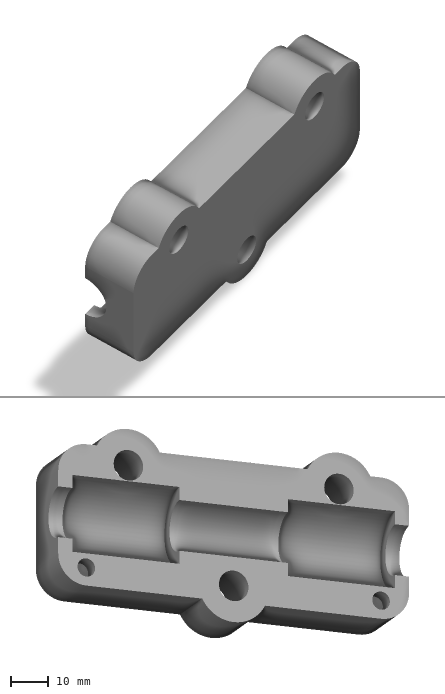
import cadquery as cq

thickness = 16.0
length = 100.0
height = 39.0
corner_radius = 8.0
split_x = -thickness / 2

boss_radius = 10.0
screw_diameter = 8.4
boss_centers = [(-30.0, 15.0), (30.0, 15.0), (0.0, -15.0)]

shaft_diameter = 14.0
seat_diameter = 21.2
seat_length = 30.5
end_wall = 4.0
seat_center_y = length / 2 - end_wall - seat_length / 2

dowel_diameter = 5.0
dowel_depth = 5.0
dowel_centers = [(-42.0, -14.5), (42.0, -14.5)]


def split_face():
    """Workplane on the split face: local x is Y, local y is Z, normal is +X."""
    return cq.Workplane("YZ", origin=(split_x, 0, 0))


def cylinder_along_y(diameter, cylinder_length, center_y):
    """Cylinder on the shaft axis, which lies in the split face."""
    return (
        cq.Workplane("XZ", origin=(split_x, center_y, 0))
        .circle(diameter / 2)
        .extrude(cylinder_length / 2, both=True)
    )


block = split_face().rect(length, height).extrude(thickness).edges("|X").fillet(corner_radius)
bosses = split_face().pushPoints(boss_centers).circle(boss_radius).extrude(thickness)
body = block.union(bosses)

body = body.cut(cylinder_along_y(shaft_diameter, length, 0))
for side in (-1, 1):
    body = body.cut(cylinder_along_y(seat_diameter, seat_length, side * seat_center_y))

screw_holes = split_face().pushPoints(boss_centers).circle(screw_diameter / 2).extrude(thickness)
dowel_holes = split_face().pushPoints(dowel_centers).circle(dowel_diameter / 2).extrude(dowel_depth)
result = body.cut(screw_holes).cut(dowel_holes)